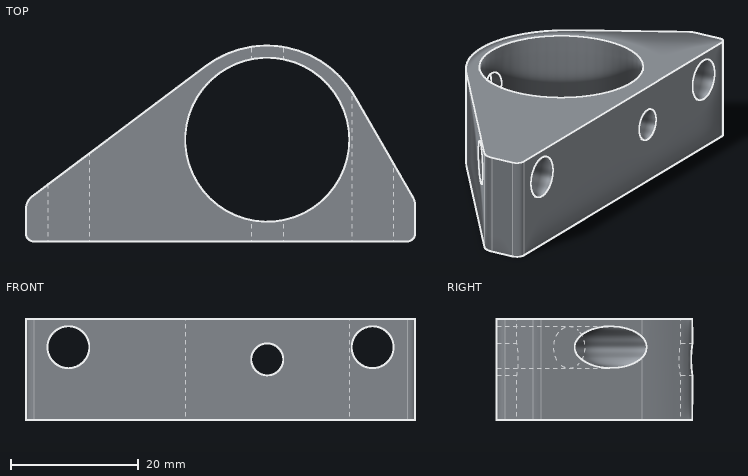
import math

import cadquery as cq

WIDTH = 60.96
DEPTH = 30.7
HEIGHT = 15.875

SHOULDER_Y = 6.35
CREST_RADIUS = 15.875
RIGHT_FLANK_ANGLE = 60.0
FOOT_RADIUS = 1.27
SHOULDER_RADIUS = 2.54

BORE_DIAMETER = 25.65
BORE_X = 37.8
BORE_Y = 15.95

MOUNT_HOLE_DIAMETER = 6.53
MOUNT_HOLE_SPACING = 47.625
MOUNT_HOLE_Z = 11.43
CENTER_HOLE_DIAMETER = 4.98
CENTER_HOLE_Z = 9.525

crest_y = DEPTH - CREST_RADIUS
crest_rise = crest_y - SHOULDER_Y
right_angle = math.radians(RIGHT_FLANK_ANGLE)
crest_x = WIDTH - (CREST_RADIUS + crest_rise * math.cos(right_angle)) / math.sin(right_angle)

left_angle = math.atan2(crest_rise, crest_x) + math.asin(CREST_RADIUS / math.hypot(crest_x, crest_rise))


def flank_apex():
    """Point where the two flanks would meet if the crest were sharp."""
    left_slope = math.tan(left_angle)
    right_slope = math.tan(right_angle)
    x = WIDTH * right_slope / (left_slope + right_slope)
    return x, SHOULDER_Y + left_slope * x


def make_body():
    """Five-sided plate with every upright edge rounded."""
    apex = flank_apex()
    outline = [(0, 0), (WIDTH, 0), (WIDTH, SHOULDER_Y), apex, (0, SHOULDER_Y)]
    body = cq.Workplane("XY").polyline(outline).close().extrude(HEIGHT)
    body = body.edges("|Z and >Y").fillet(CREST_RADIUS)
    for x in (0, WIDTH):
        for y, radius in ((0, FOOT_RADIUS), (SHOULDER_Y, SHOULDER_RADIUS)):
            corner = cq.selectors.NearestToPointSelector((x, y, HEIGHT / 2))
            body = body.edges("|Z").edges(corner).fillet(radius)
    return body


def bore_cutter():
    """Vertical cylinder through the full height."""
    return cq.Workplane("XY").center(BORE_X, BORE_Y).circle(BORE_DIAMETER / 2).extrude(HEIGHT)


def cross_hole(x, z, diameter):
    """Cylinder along Y through the full depth."""
    plane = cq.Workplane("XZ").center(x, z)
    return plane.circle(diameter / 2).extrude(-DEPTH)


result = make_body().cut(bore_cutter())
for side in (-1, 1):
    mount_x = WIDTH / 2 + side * MOUNT_HOLE_SPACING / 2
    result = result.cut(cross_hole(mount_x, MOUNT_HOLE_Z, MOUNT_HOLE_DIAMETER))
result = result.cut(cross_hole(BORE_X, CENTER_HOLE_Z, CENTER_HOLE_DIAMETER))